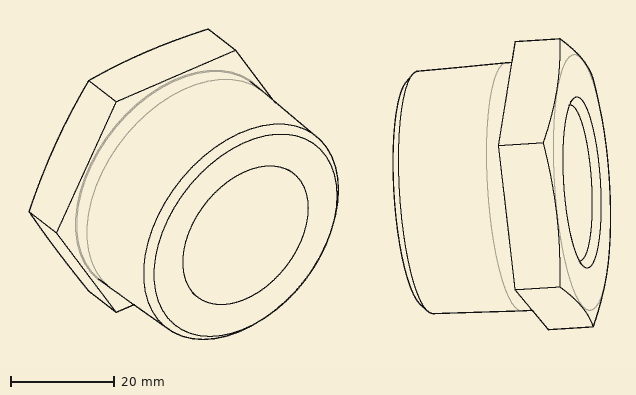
import cadquery as cq
import math

across_corners = 57.75
head_length = 10.0
face_diameter = 49.65
head_chamfer_angle = 15.0

total_length = 32.5
collar_diameter = 48.2
collar_end = 13.45
taper_ratio = 1 / 16
tip_chamfer_length = 1.45
tip_chamfer_angle = 45.0
root_fillet = 0.2

bore_diameter = 30.3
bore_mouth_diameter = 33.2
bore_chamfer_angle = 45.0


def revolve_about_x(points):
    """Revolve a closed outline of (x, radius) points about the X axis."""
    return cq.Workplane("XY").polyline(points).close().revolve(360, (0, 0, 0), (1, 0, 0))


def hexagon_head():
    """Hexagon with corners on Y, its outer face trimmed by a shallow cone."""
    corner_radius = across_corners / 2
    face_radius = face_diameter / 2
    cone_depth = (corner_radius - face_radius) * math.tan(math.radians(head_chamfer_angle))
    prism = cq.Workplane("YZ").polygon(6, across_corners).extrude(head_length)
    envelope = revolve_about_x([
        (0, 0),
        (0, face_radius),
        (cone_depth, corner_radius),
        (head_length, corner_radius),
        (head_length, 0),
    ])
    return prism.intersect(envelope)


def tapered_spigot():
    """Straight collar, then a slight taper ending in a chamfered tip."""
    collar_radius = collar_diameter / 2
    taper_end = total_length - tip_chamfer_length
    taper_radius = collar_radius - (taper_end - collar_end) * taper_ratio / 2
    tip_radius = taper_radius - tip_chamfer_length * math.tan(math.radians(tip_chamfer_angle))
    return revolve_about_x([
        (0, 0),
        (0, collar_radius),
        (collar_end, collar_radius),
        (taper_end, taper_radius),
        (total_length, tip_radius),
        (total_length, 0),
    ])


def round_root(body):
    """Small fillet where the collar meets the back of the head."""
    root_edge = cq.selectors.BoxSelector(
        (head_length - root_fillet, -across_corners, -across_corners),
        (head_length + root_fillet, across_corners, across_corners),
    )
    return body.edges(root_edge).edges("%CIRCLE").fillet(root_fillet)


def chamfered_bore():
    """Through bore with a conical mouth in the hexagon face."""
    bore_radius = bore_diameter / 2
    mouth_radius = bore_mouth_diameter / 2
    mouth_depth = (mouth_radius - bore_radius) / math.tan(math.radians(bore_chamfer_angle))
    return revolve_about_x([
        (0, 0),
        (0, mouth_radius),
        (mouth_depth, bore_radius),
        (total_length, bore_radius),
        (total_length, 0),
    ])


body = hexagon_head().union(tapered_spigot())
result = round_root(body).cut(chamfered_bore())